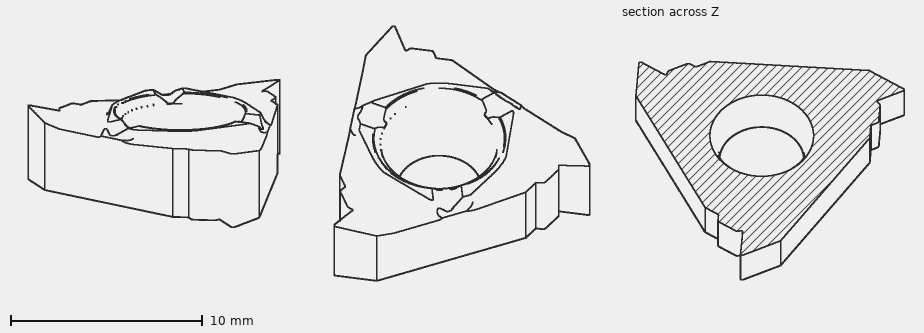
import cadquery as cq
import math

LOBES = 3
LOBE_ANGLE = 360 / LOBES
FAR = 11.16
TOUCHING = 0.001

top_z = 4.1
flat_z = 3.49
pad_z = 3.59
land_root_z = 2.79

side_distance = 4.75
tooth_distance = 6.75
tooth_x = -3.59
tooth_tip_radius = 0.1
tooth_half_angle = math.radians(30)
valley_radius = 0.05
shelf_y = 6.03
shelf_start_x = -2.51
shelf_end_x = -1.31
shelf_radius = 0.18
step_y = 5.64

crease_y = 4.31
crease_radius = 0.28
land_angle = math.radians(10)

flank_angle = math.radians(65)
foot_radius = 0.29
front_foot = 4.2
front_azimuth = 90.0
front_round_end = 120.0
back_foot = 4.1
back_azimuth = 121.8
end_foot = 4.63
end_azimuth = 180.0
end_corner_radius = 0.11
next_front_azimuth = front_azimuth + LOBE_ANGLE

notch_azimuth = 165.0
notch_offset = 0.05
notch_depth = 0.47
notch_floor_width = 0.1
notch_radius = 0.28
notch_angle = math.radians(37)
notch_length = 5.58
notch_edge_radius = 0.14

hole_radius = 2.2
bell_radius = 2.86
bell_top_z = 2.32
bell_bottom_z = 0.28
seat_bottom_radius = 2.97
seat_top_radius = 3.05
seat_round = 0.07
ledge_z = 3.67
lip_top_radius = 3.47
lip_foot_radius = 3.12
lip_round = 0.07
lip_angle = math.radians(70)


def about_axis(shape, degrees):
    return shape.rotate((0, 0, 0), (0, 0, 1), degrees)


def on_lobes(shape):
    """The shape and its copies on the other lobes, as one."""
    copies = shape
    for i in range(1, LOBES):
        copies = copies.union(about_axis(shape, LOBE_ANGLE * i))
    return copies


def turned(point, degrees):
    a = math.radians(degrees)
    x, y = point
    return (x * math.cos(a) - y * math.sin(a), x * math.sin(a) + y * math.cos(a))


def toward(start, end, distance):
    length = math.dist(start, end)
    return tuple(s + (e - s) * distance / length for s, e in zip(start, end))


def rounded_outline(corners):
    """Closed outline through (point, radius) corners; a radius of 0 keeps the corner sharp."""
    outline = None
    for i, (corner, radius) in enumerate(corners):
        before = corners[i - 1][0]
        after = corners[(i + 1) % len(corners)][0]
        arc = [corner]
        if radius:
            to_before = math.atan2(before[1] - corner[1], before[0] - corner[0])
            to_after = math.atan2(after[1] - corner[1], after[0] - corner[0])
            half = abs(math.remainder(to_after - to_before, 2 * math.pi)) / 2
            start = toward(corner, before, radius / math.tan(half))
            end = toward(corner, after, radius / math.tan(half))
            chord_middle = ((start[0] + end[0]) / 2, (start[1] + end[1]) / 2)
            middle = toward(corner, chord_middle, radius / math.sin(half) - radius)
            arc = [start, middle, end]
        outline = outline.lineTo(*arc[0]) if outline else cq.Workplane("XY").moveTo(*arc[0])
        if radius:
            outline = outline.threePointArc(arc[1], arc[2])
    return outline.close()


def lobe_corners():
    """Corners of one lobe from the left shoulder, over the tooth, to the next long side."""
    slope = 1 / math.tan(tooth_half_angle)

    def outer_flank_y(x):
        return (tooth_distance + x * math.cos(tooth_half_angle)) / math.sin(tooth_half_angle)

    apex_y = outer_flank_y(tooth_x)
    valley_x = (apex_y + slope * tooth_x - shelf_y + shelf_start_x) / (1 + slope)
    valley_y = shelf_y + valley_x - shelf_start_x
    step_x = shelf_end_x + (shelf_y - step_y) / slope
    side_azimuth = math.radians(LOBE_ANGLE / 2)
    side_x = (side_distance - step_y * math.sin(side_azimuth)) / math.cos(side_azimuth)
    return [
        ((-side_distance, outer_flank_y(-side_distance)), 0),
        ((tooth_x, apex_y), tooth_tip_radius),
        ((valley_x, valley_y), valley_radius),
        ((shelf_start_x, shelf_y), shelf_radius),
        ((shelf_end_x, shelf_y), shelf_radius),
        ((step_x, step_y), 0),
        ((side_x, step_y), 0),
    ]


def outline_prism(height):
    corners = []
    for i in range(LOBES):
        corners += [(turned(point, -LOBE_ANGLE * i), radius) for point, radius in lobe_corners()]
    return rounded_outline(corners).extrude(height)


def land():
    """Wedge rising toward the tooth from a softly rounded crease."""
    reach = crease_radius * math.tan(land_angle / 2)
    rise = math.tan(land_angle)
    middle_y = crease_y - reach + crease_radius * math.sin(land_angle / 2)
    middle_z = flat_z + crease_radius * (1 - math.cos(land_angle / 2))
    end_y = crease_y + reach * math.cos(land_angle)
    end_z = flat_z + reach * math.sin(land_angle)
    return (
        cq.Workplane("YZ")
        .moveTo(crease_y - reach, flat_z)
        .threePointArc((middle_y, middle_z), (end_y, end_z))
        .lineTo(FAR, flat_z + (FAR - crease_y) * rise)
        .lineTo(FAR, land_root_z)
        .lineTo(crease_y - reach, land_root_z)
        .close()
        .extrude(FAR, both=True)
    )


def flank_run(floor_z):
    """Distance from the top edge of a flank out to the end of its foot."""
    rise = foot_radius * (1 - math.cos(flank_angle))
    return foot_radius * math.sin(flank_angle) + (top_z - floor_z - rise) / math.tan(flank_angle)


def flank_profile(foot, floor_z):
    """Section outside a boss flank in the XZ plane: flank, rounded foot and level floor."""
    run = foot_radius * math.sin(flank_angle)
    rise = foot_radius * (1 - math.cos(flank_angle))
    half_run = foot_radius * math.sin(flank_angle / 2)
    half_rise = foot_radius * (1 - math.cos(flank_angle / 2))
    top = foot - flank_run(floor_z)
    return (
        cq.Workplane("XZ")
        .moveTo(top, top_z)
        .lineTo(foot - run, floor_z + rise)
        .threePointArc((foot - half_run, floor_z + half_rise), (foot, floor_z))
        .lineTo(FAR, floor_z)
        .lineTo(FAR, top_z)
        .close()
    )


def straight_flank(azimuth, foot, floor_z):
    return about_axis(flank_profile(foot, floor_z).extrude(FAR, both=True), azimuth)


def round_flank(first_azimuth, last_azimuth, foot, floor_z, center=(0, 0)):
    """Flank sector turned about a vertical line through the center."""
    sector = flank_profile(foot, floor_z).revolve(last_azimuth - first_azimuth, (0, 0, 0), (0, 1, 0))
    return about_axis(sector, first_azimuth).translate((*center, 0))


def end_corner_cut():
    """Rounds the corner between the end flank and the front flank of the next lobe."""
    end_inset = end_foot - flank_run(pad_z) - end_corner_radius
    front_inset = front_foot - flank_run(flat_z) - end_corner_radius
    spread = math.radians(next_front_azimuth - end_azimuth)
    center = (-end_inset, (end_inset * math.cos(spread) - front_inset) / math.sin(spread))
    foot = end_corner_radius + flank_run(pad_z)
    return round_flank(end_azimuth, next_front_azimuth, foot, pad_z, center)


def notch_top_half_width():
    arc_run = notch_radius * math.sin(notch_angle)
    arc_rise = notch_radius * (1 - math.cos(notch_angle))
    return notch_floor_width / 2 + arc_run + (notch_depth - arc_rise) / math.tan(notch_angle)


def notch():
    """V notch with a narrow rounded floor, along a line beside the axis."""
    floor_z = top_z - notch_depth
    floor_half = notch_floor_width / 2
    arc_run = notch_radius * math.sin(notch_angle)
    arc_rise = notch_radius * (1 - math.cos(notch_angle))
    middle_run = notch_radius * math.sin(notch_angle / 2)
    middle_rise = notch_radius * (1 - math.cos(notch_angle / 2))
    top_half = notch_top_half_width()
    cutter = (
        cq.Workplane("YZ")
        .moveTo(-top_half, top_z)
        .lineTo(-floor_half - arc_run, floor_z + arc_rise)
        .threePointArc((-floor_half - middle_run, floor_z + middle_rise), (-floor_half, floor_z))
        .lineTo(floor_half, floor_z)
        .threePointArc(
            (floor_half + middle_run, floor_z + middle_rise), (floor_half + arc_run, floor_z + arc_rise)
        )
        .lineTo(top_half, top_z)
        .close()
        .extrude(notch_length)
    )
    return about_axis(cutter.translate((0, notch_offset, 0)), notch_azimuth)


def boss_side():
    """The block with the flanks and notch of a single lobe cut into it."""
    block = outline_prism(top_z).cut(straight_flank(front_azimuth, front_foot, flat_z))
    block = block.cut(round_flank(front_azimuth, front_round_end, front_foot, flat_z))
    block = block.cut(straight_flank(back_azimuth, back_foot, flat_z))
    block = block.cut(straight_flank(end_azimuth, end_foot, pad_z))
    block = block.cut(end_corner_cut()).cut(notch())
    return round_notch_edge(block)


def round_notch_edge(block):
    """Rounds the edge where the notch runs out through the back flank."""
    back_top = back_foot - flank_run(flat_z)
    edge_offset = notch_offset - notch_top_half_width()
    spread = math.radians(notch_azimuth - back_azimuth)
    along = (back_top + edge_offset * math.sin(spread)) / math.cos(spread)
    start = cq.Vector(*turned((along, edge_offset), notch_azimuth), top_z)
    run_out = [
        edge
        for edge in block.edges("not #Z").vals()
        if min((start - end.Center()).Length for end in edge.Vertices()) < TOUCHING
    ]
    return block.newObject(run_out).fillet(notch_edge_radius)


def boss():
    side = boss_side()
    block = side
    for i in range(1, LOBES):
        block = block.intersect(about_axis(side, LOBE_ANGLE * i))
    return block


def bore():
    """Lip, ledge, seat, and a bell that narrows into the through hole."""
    bell_turn = 2 * math.atan2(bell_radius - hole_radius, bell_top_z - bell_bottom_z)
    bell_arc = (bell_radius - hole_radius) / (1 - math.cos(bell_turn))
    bell_middle = (
        hole_radius + bell_arc * (1 - math.cos(bell_turn / 2)),
        bell_bottom_z + bell_arc * math.sin(bell_turn / 2),
    )
    round_arc = (seat_bottom_radius - bell_radius) / (1 - math.cos(bell_turn))
    round_top_z = bell_top_z + round_arc * math.sin(bell_turn)
    round_middle = (
        seat_bottom_radius - round_arc * (1 - math.cos(bell_turn / 2)),
        round_top_z - round_arc * math.sin(bell_turn / 2),
    )
    seat_middle = (
        seat_top_radius + seat_round * (1 - math.sqrt(0.5)),
        ledge_z - seat_round * (1 - math.sqrt(0.5)),
    )
    lip_run = lip_top_radius - lip_foot_radius
    lip_height = top_z - ledge_z
    both_rounds = (lip_run - lip_height / math.tan(lip_angle)) / math.tan(lip_angle / 2)
    foot_round = both_rounds - lip_round

    def lip_foot_point(turn):
        return (
            lip_foot_radius + foot_round * math.sin(turn),
            ledge_z + foot_round * (1 - math.cos(turn)),
        )

    def lip_top_point(turn):
        return (
            lip_top_radius - lip_round * math.sin(turn),
            top_z - lip_round * (1 - math.cos(turn)),
        )

    section = (
        cq.Workplane("XZ")
        .lineTo(hole_radius, 0)
        .lineTo(hole_radius, bell_bottom_z)
        .threePointArc(bell_middle, (bell_radius, bell_top_z))
        .threePointArc(round_middle, (seat_bottom_radius, round_top_z))
        .lineTo(seat_top_radius, ledge_z - seat_round)
        .threePointArc(seat_middle, (seat_top_radius + seat_round, ledge_z))
        .threePointArc(lip_foot_point(lip_angle / 2), lip_foot_point(lip_angle))
        .lineTo(*lip_top_point(lip_angle))
        .threePointArc(lip_top_point(lip_angle / 2), (lip_top_radius, top_z))
        .lineTo(0, top_z)
        .close()
    )
    return section.revolve(360, (0, 0, 0), (0, 1, 0))


body = outline_prism(flat_z)
lands = on_lobes(land()).intersect(outline_prism(FAR))
result = body.union(lands).union(boss()).cut(bore()).solids()